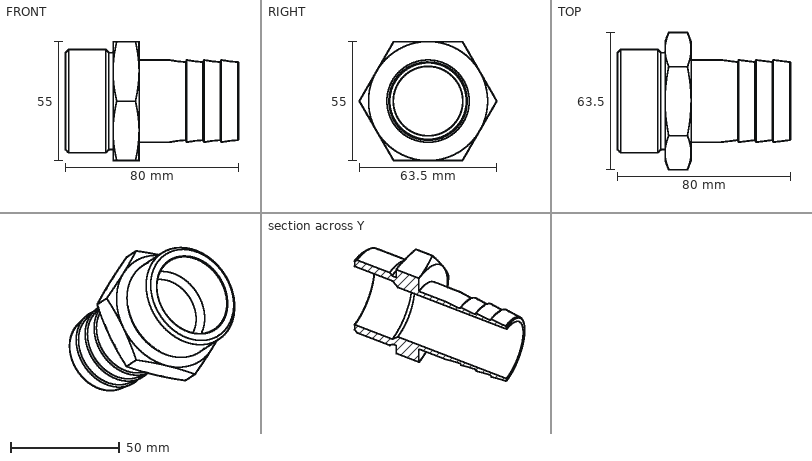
import cadquery as cq
import math

total_length = 80.0
hex_start = 22.0
hex_end = 34.0
hex_width = hex_end - hex_start
barb_count = 4
barb_pitch = 8.0
barb_start = total_length - barb_count * barb_pitch

thread_radius = 23.9
lead_chamfer = 1.5
runout_start = 18.6
groove_radius = 22.4
groove_corner = 0.2
runout_depth = thread_radius - groove_radius - groove_corner

across_flats = 55.0
corner_radius = across_flats / 2 / math.cos(math.pi / 6)
hex_chamfer_depth = 1.7

hose_radius = 19.0
barb_drop = 1.0
barb_riser_length = 0.5
tip_chamfer = 0.4

inlet_radius = 18.9
inlet_chamfer = 0.3
inlet_depth = 20.0
bore_radius = 16.0
cone_length = inlet_radius - bore_radius


def revolve_about_x(profile):
    """Turn a closed profile of (x, radius) coordinates about the X axis."""
    return profile.close().revolve(360, (0, 0, 0), (1, 0, 0))


def threaded_end():
    """Plain thread cylinder, its run-out chamfer and the relief groove."""
    runout_end = runout_start + runout_depth
    arc_offset = groove_corner * (1 - math.sqrt(0.5))
    profile = (
        cq.Workplane("XY")
        .lineTo(0, thread_radius - lead_chamfer)
        .lineTo(lead_chamfer, thread_radius)
        .lineTo(runout_start, thread_radius)
        .lineTo(runout_end, groove_radius + groove_corner)
        .threePointArc(
            (runout_end + arc_offset, groove_radius + arc_offset),
            (runout_end + groove_corner, groove_radius),
        )
        .lineTo(hex_start - groove_corner, groove_radius)
        .threePointArc(
            (hex_start - arc_offset, groove_radius + arc_offset),
            (hex_start, groove_radius + groove_corner),
        )
        .lineTo(hex_start, 0)
    )
    return revolve_about_x(profile)


def hexagon():
    """Hexagon with flats at top and bottom and conical chamfers on both faces."""
    prism = (
        cq.Workplane("YZ", origin=(hex_start, 0, 0))
        .polygon(6, 2 * corner_radius)
        .extrude(hex_width)
    )
    chamfer_envelope = revolve_about_x(
        cq.Workplane("XY")
        .moveTo(hex_start, 0)
        .lineTo(hex_start, across_flats / 2)
        .lineTo(hex_start + hex_chamfer_depth, corner_radius)
        .lineTo(hex_end - hex_chamfer_depth, corner_radius)
        .lineTo(hex_end, across_flats / 2)
        .lineTo(hex_end, 0)
    )
    return prism.intersect(chamfer_envelope)


def hose_end():
    """Smooth shank followed by barbs that taper towards the tip."""
    valley_radius = hose_radius - barb_drop
    profile = (
        cq.Workplane("XY")
        .moveTo(hex_end, 0)
        .lineTo(hex_end, hose_radius)
        .lineTo(barb_start, hose_radius)
    )
    for barb in range(1, barb_count):
        barb_end = barb_start + barb * barb_pitch
        profile = profile.lineTo(barb_end - barb_riser_length, valley_radius)
        profile = profile.lineTo(barb_end, hose_radius)
    profile = (
        profile.lineTo(total_length - tip_chamfer, valley_radius)
        .lineTo(total_length, valley_radius - tip_chamfer)
        .lineTo(total_length, 0)
    )
    return revolve_about_x(profile)


def bore():
    """Wide inlet narrowing through a cone to the through hole."""
    profile = (
        cq.Workplane("XY")
        .lineTo(0, inlet_radius + inlet_chamfer)
        .lineTo(inlet_chamfer, inlet_radius)
        .lineTo(inlet_depth, inlet_radius)
        .lineTo(inlet_depth + cone_length, bore_radius)
        .lineTo(total_length, bore_radius)
        .lineTo(total_length, 0)
    )
    return revolve_about_x(profile)


result = threaded_end().union(hexagon()).union(hose_end()).cut(bore())